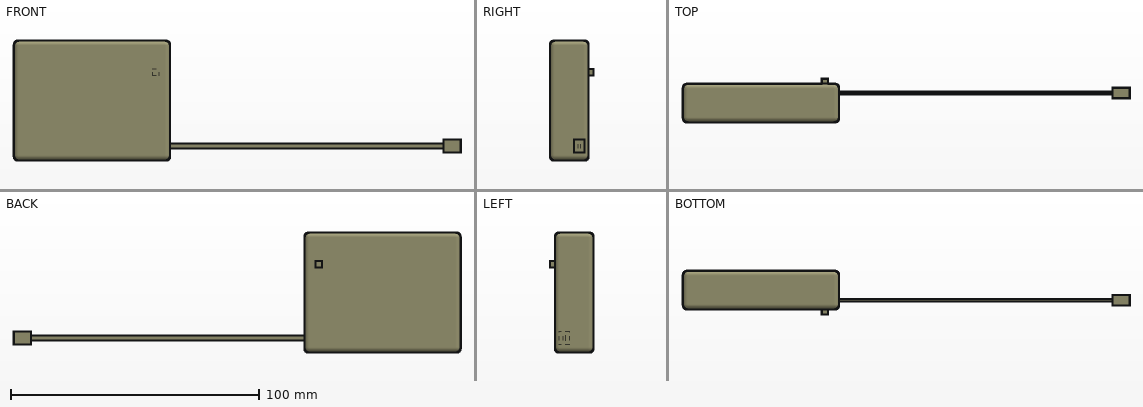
import cadquery as cq

total_length = 180.2

case_length = 63.0
case_depth = 15.7
case_height = 48.5
case_edge_radius = 2.0

cable_thickness = 1.0
cable_height = 2.2
cable_below_back = 3.8
cable_above_bottom = 6.0

plug_length = 7.0
plug_thickness = 4.3
plug_height = 5.4

knob_size = 2.7
knob_protrusion = 2.0
knob_from_right = 5.8
knob_below_top = 12.8


def block_along_x(start, end, thickness, height, center_y, center_z):
    """Rectangular bar between two X positions, centered on a line parallel to X."""
    return (
        cq.Workplane("XY")
        .box(end - start, thickness, height, centered=(False, True, True))
        .translate((start, center_y, center_z))
    )


def make_case():
    """Box with all its edges rounded."""
    return (
        cq.Workplane("XY")
        .box(case_length, case_depth, case_height, centered=False)
        .edges()
        .fillet(case_edge_radius)
    )


def make_knob():
    """Square knob standing on the back face of the case."""
    return (
        cq.Workplane("XY")
        .box(knob_size, knob_protrusion, knob_size, centered=(True, False, True))
        .translate((case_length - knob_from_right, case_depth, case_height - knob_below_top))
    )


cable_y = case_depth - cable_below_back
cable_z = cable_above_bottom
plug_start = total_length - plug_length

cable = block_along_x(case_length, plug_start, cable_thickness, cable_height, cable_y, cable_z)
plug = block_along_x(plug_start, total_length, plug_thickness, plug_height, cable_y, cable_z)

result = make_case().union(make_knob()).union(cable).union(plug)